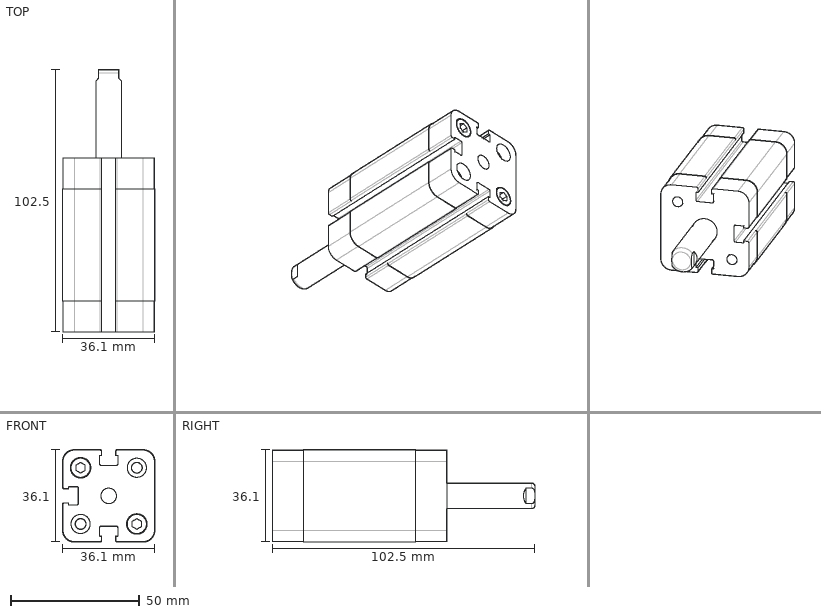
import cadquery as cq
import math

total_length = 102.5
rod_projection = 34.4
cover_length = 12.2
housing_length = total_length - rod_projection

barrel_side = 36.1
cover_side = 35.7
barrel_corner_radius = 4.6
cover_corner_radius = barrel_corner_radius - (barrel_side - cover_side) / 2

slot_mouth_width = 5.4
slot_inner_width = 7.1
slot_lip_height = 15.7
slot_floor_height = 11.9
slot_mouth_round = 0.6
slot_floor_round = 0.5
slot_angles = (0, 90, 180)

rod_diameter = 10.0
rod_tip_round = 1.3
flat_spacing = 8.0
flat_length = 3.5
flat_runout = (rod_diameter - flat_spacing) / 2

hole_offset = 11.0
mount_bore_diameter = 7.5
mount_bore_depth = 4.5
mount_hole_diameter = 4.1
screw_seat_diameter = 8.0
screw_head_diameter = 7.5
screw_seat_depth = 4.1
hex_across_flats = 3.6
hex_depth = 3.1
hex_turn = 30
centre_hole_diameter = 6.0
centre_hole_depth = 6.2

mount_positions = [(hole_offset, hole_offset), (-hole_offset, -hole_offset)]
screw_positions = [(-hole_offset, hole_offset), (hole_offset, -hole_offset)]


def section_plane(y):
    """Plane across the part at the given Y, drawn in X and Z, facing -Y."""
    return cq.Workplane("XZ", origin=(0, y, 0))


def cylinders(positions, diameter, y_start, length):
    """Cylinders along +Y from y_start at the given (x, z) positions."""
    return section_plane(y_start).pushPoints(positions).circle(diameter / 2).extrude(-length)


def t_slot(side, y_start, length):
    """Cutter for the top T-slot of a square block, with a rounded mouth."""
    mouth = slot_mouth_width / 2
    inner = slot_inner_width / 2
    top = side / 2
    flare = mouth + slot_mouth_round
    bevel = slot_mouth_round * (1 - math.sqrt(0.5))
    cavity_height = slot_lip_height - slot_floor_height
    cavity = (
        section_plane(y_start)
        .center(0, slot_floor_height + cavity_height / 2)
        .rect(2 * inner, cavity_height)
        .extrude(-length)
        .edges("|Y and <Z")
        .fillet(slot_floor_round)
    )
    opening = (
        section_plane(y_start)
        .moveTo(-mouth, slot_lip_height)
        .lineTo(-mouth, top - slot_mouth_round)
        .threePointArc((-mouth - bevel, top - bevel), (-flare, top))
        .lineTo(flare, top)
        .threePointArc((mouth + bevel, top - bevel), (mouth, top - slot_mouth_round))
        .lineTo(mouth, slot_lip_height)
        .close()
        .extrude(-length)
    )
    return cavity.union(opening)


def slotted_block(side, corner_radius, y_start, length):
    """Rounded square block along Y with a T-slot in three of its sides."""
    block = section_plane(y_start).rect(side, side).extrude(-length).edges("|Y").fillet(corner_radius)
    slot = t_slot(side, y_start, length)
    for angle in slot_angles:
        block = block.cut(slot.rotate((0, 0, 0), (0, -1, 0), angle))
    return block


def housing():
    """Barrel between the front and rear covers."""
    barrel_length = housing_length - 2 * cover_length
    rear_start = cover_length + barrel_length
    front_cover = slotted_block(cover_side, cover_corner_radius, 0, cover_length)
    barrel = slotted_block(barrel_side, barrel_corner_radius, cover_length, barrel_length)
    rear_cover = slotted_block(cover_side, cover_corner_radius, rear_start, cover_length)
    return front_cover.union(barrel).union(rear_cover)


def piston_rod():
    """Rod from inside the rear cover to its tip, flattened on -X and +X."""
    rod_start = housing_length - cover_length
    rod = cylinders([(0, 0)], rod_diameter, rod_start, total_length - rod_start)
    rod = rod.faces(">Y").edges().fillet(rod_tip_round)
    flat_x = flat_spacing / 2
    outer_x = rod_diameter / 2
    flat_start = total_length - flat_length
    flat_cutter = (
        cq.Workplane("XY", origin=(0, 0, -rod_diameter / 2))
        .moveTo(flat_x, total_length)
        .lineTo(flat_x, flat_start)
        .lineTo(outer_x, flat_start - flat_runout)
        .lineTo(outer_x, total_length)
        .close()
        .extrude(rod_diameter)
    )
    return rod.cut(flat_cutter).cut(flat_cutter.mirror("YZ"))


def socket_screw_heads():
    """Flush screw heads with hexagon sockets that have corners at top and bottom."""
    heads = cylinders(screw_positions, screw_head_diameter, 0, screw_seat_depth)
    hex_across_corners = hex_across_flats / math.cos(math.pi / 6)
    for x, z in screw_positions:
        socket = section_plane(0).polygon(6, hex_across_corners).extrude(-hex_depth)
        socket = socket.rotate((0, 0, 0), (0, 1, 0), hex_turn)
        heads = heads.cut(socket.translate((x, 0, z)))
    return heads


result = (
    housing()
    .cut(cylinders(mount_positions, mount_hole_diameter, 0, housing_length))
    .cut(cylinders(mount_positions, mount_bore_diameter, 0, mount_bore_depth))
    .cut(cylinders([(0, 0)], centre_hole_diameter, 0, centre_hole_depth))
    .cut(cylinders(screw_positions, screw_seat_diameter, 0, screw_seat_depth))
    .union(socket_screw_heads())
    .union(piston_rod())
)